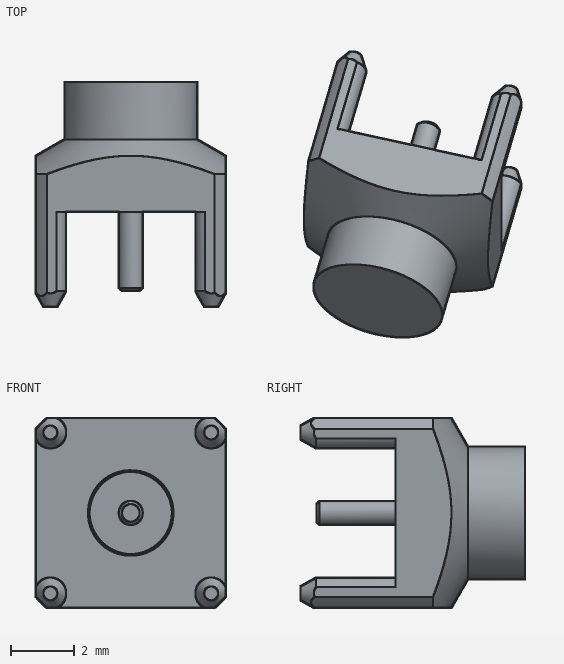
import cadquery as cq
import math

total_length = 7.1
body_width = 6.0
body_round_diameter = 8.0
barrel_diameter = 4.2
barrel_length = 1.81
shoulder_angle = 30.0

leg_length = 3.0
leg_diameter = 1.0
leg_spacing = 5.08
leg_tip_diameter = 0.44
leg_taper_length = 0.5

pin_diameter = 0.76
pin_length = 2.5
pin_chamfer = 0.1

recess_diameter = 2.7
recess_depth = 0.05

barrel_end = total_length - leg_length
barrel_base = barrel_end - barrel_length
body_round_radius = body_round_diameter / 2
barrel_radius = barrel_diameter / 2
shoulder_length = (body_round_radius - barrel_radius) * math.tan(math.radians(shoulder_angle))
shoulder_base = barrel_base - shoulder_length


def revolve_about_y(profile):
    """Turn a closed profile of (radius, y) points about the Y axis."""
    return cq.Workplane("XY").polyline(profile).close().revolve(360, (0, 0), (0, 1))


def make_body():
    """Barrel, conical shoulder and round base turned as one."""
    return revolve_about_y([
        (0, 0),
        (body_round_radius, 0),
        (body_round_radius, shoulder_base),
        (barrel_radius, barrel_base),
        (barrel_radius, barrel_end),
        (0, barrel_end),
    ])


def make_leg():
    """Round leg with a tapered tip, rooted in the mounting face."""
    leg_radius = leg_diameter / 2
    return revolve_about_y([
        (0, shoulder_base),
        (leg_radius, shoulder_base),
        (leg_radius, leg_taper_length - leg_length),
        (leg_tip_diameter / 2, -leg_length),
        (0, -leg_length),
    ])


def make_pin():
    """Center pin with a chamfered end, rooted inside the body."""
    pin_radius = pin_diameter / 2
    return revolve_about_y([
        (0, shoulder_base),
        (pin_radius, shoulder_base),
        (pin_radius, pin_chamfer - pin_length),
        (pin_radius - pin_chamfer, -pin_length),
        (0, -pin_length),
    ])


def make_recess():
    """Shallow recess with a 45 degree rim around the center pin."""
    recess_radius = recess_diameter / 2
    return revolve_about_y([
        (0, 0),
        (recess_radius, 0),
        (recess_radius - recess_depth, recess_depth),
        (0, recess_depth),
    ])


part = make_body().cut(make_recess())
for x_side in (-1, 1):
    for z_side in (-1, 1):
        leg_place = (x_side * leg_spacing / 2, 0, z_side * leg_spacing / 2)
        part = part.union(make_leg().translate(leg_place))

square_envelope = (
    cq.Workplane("XY")
    .box(body_width, total_length, body_width)
    .translate((0, total_length / 2 - leg_length, 0))
)
round_envelope = (
    cq.Workplane("XZ", origin=(0, barrel_end, 0))
    .circle(body_round_radius)
    .extrude(total_length)
)
part = part.intersect(square_envelope.intersect(round_envelope))

result = part.union(make_pin())